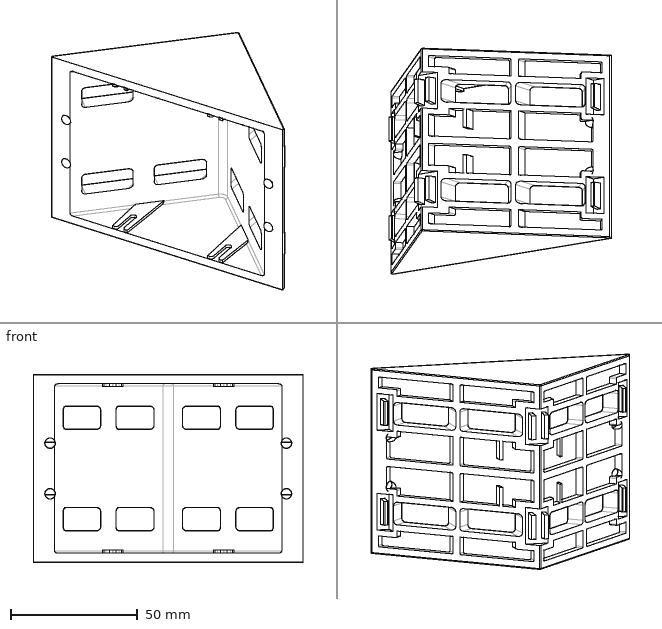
import cadquery as cq

width = 106.3
body_depth = 54.2
half_height = 37.0
apex_y = 54.5
half_width = width / 2
base_rim = apex_y - half_width
apex_flat = apex_y - body_depth
edge_chamfer = 0.4

wall_run = 9.8
cavity_half_height = 33.4
cavity_apex_fillet = 3.0
cavity_edge_fillet = 1.0

row_z = 20.0
clearance = 1.1

window_height = 9.0
window_spans = [(48.9, 29.1), (27.8, 8.3)]
window_fillet = 1.5

pocket_run = 4.3
pocket_near = 7.0
pocket_step = 9.7
pocket_outer_z = 34.0
pocket_inner_z = 1.5
pocket_fillet = 0.5
apex_pocket = (52.5, 29.2)
base_pocket = (27.0, 3.5)
inner_base_pocket = (27.0, 6.1)
apex_step_y = 46.6
base_step_y = 9.4

rib_apex_y = 42.7
rib_thickness = 1.1
rib_length = 7.4

notch_height = 14.7
notch_depth = 5.2
apex_notch_floor = 49.8
base_notch_floor = 3.0
base_notch_x = -46.4
hook_height = 4.4
hook_thickness = 1.7
hook_root = 10.4
hook_tip = 9.6
hook_tip_chamfer = 0.3
apex_hook_x = -2.7
base_hook_x = -49.1

hole_x = 46.5
hole_z = 10.0
hole_diameter = 4.0
hole_depth = 6.1

pad_x = -21.9
pad_back_width = 8.5
pad_tip_width = 6.8
pad_thickness = 1.2
pad_front_y = 0.2
pad_slot_width = 2.5
pad_slot_length = 11.5
pad_slot_end_round = 1.2
pad_tip_round = 1.3


def slab(points, z_low, z_high):
    """Extrude an XY outline between two heights."""
    return cq.Workplane("XY", origin=(0, 0, z_low)).polyline(points).close().extrude(z_high - z_low)


def block(x_low, x_high, y_low, y_high, z_low, z_high):
    return slab([(x_low, y_low), (x_high, y_low), (x_high, y_high), (x_low, y_high)], z_low, z_high)


def four_way(solid):
    """Repeat a left, upper feature to the right and below."""
    pair = solid.union(solid.mirror("YZ"))
    return pair.union(pair.mirror("XY"))


def wall_cutter(span, run, z_low, z_high):
    """Cutter in the left wall: apex end parallel to Y, base end square to the wall."""
    apex_end, base_end = span
    apex_x = apex_end - apex_y
    base_x = base_end - apex_y
    points = [
        (apex_x, apex_end + clearance),
        (apex_x, apex_end - run),
        (base_x + run / 2, base_end - run / 2),
        (base_x - clearance / 2, base_end + clearance / 2),
    ]
    return slab(points, z_low, z_high)


def round_ends(cutter, side, radius):
    """Round both end corners of a wall cutter on its upper or lower side."""
    return cutter.faces(side).edges("|Y or |(-1,1,0)").fillet(radius)


def make_body():
    outline = [
        (-half_width, 0),
        (half_width, 0),
        (half_width, base_rim),
        (apex_flat, body_depth),
        (-apex_flat, body_depth),
        (-half_width, base_rim),
    ]
    body = slab(outline, -half_height, half_height)
    return body.faces("|Z").edges("|(1,1,0) or |(-1,1,0) or (|X and >Y)").chamfer(edge_chamfer)


def make_cavity():
    cavity_apex = apex_y - wall_run
    half_mouth = cavity_apex + clearance
    outline = [(-half_mouth, -clearance), (half_mouth, -clearance), (0, cavity_apex)]
    cavity = slab(outline, -cavity_half_height, cavity_half_height)
    cavity = cavity.edges("|Z and >Y").fillet(cavity_apex_fillet)
    return cavity.faces("|Z").edges("not |X").fillet(cavity_edge_fillet)


def make_window(span):
    half = window_height / 2
    window = wall_cutter(span, wall_run + clearance, row_z - half, row_z + half)
    return round_ends(window, "|Z", window_fillet)


def make_pocket(strip_span, arm_span, far, near, step):
    """L-shaped pocket: a long strip far from the window row and a shorter arm reaching toward it."""
    middle = (far + step) / 2
    strip = wall_cutter(strip_span, pocket_run, min(far, step), max(far, step))
    strip = round_ends(strip, ">Z" if far > near else "<Z", pocket_fillet)
    arm = wall_cutter(arm_span, pocket_run, min(near, middle), max(near, middle))
    return strip.union(arm)


def round_step(pocket, run_x, step_y, step_z):
    """Round the inward corner where the arm meets the strip."""
    corner = (step_y - apex_y + run_x, step_y - pocket_run / 4, step_z)
    return pocket.edges(cq.NearestToPointSelector(corner)).fillet(pocket_fillet)


def make_pockets():
    """The four pockets around one row of windows, each stepped clear of a hook notch."""
    apex_arm = (apex_step_y, apex_pocket[1])
    base_arm = (base_pocket[0], base_step_y)
    outer = (pocket_outer_z, row_z + pocket_near, row_z + pocket_step)
    inner = (pocket_inner_z, row_z - pocket_near, row_z - pocket_step)

    outer_apex = round_step(make_pocket(apex_pocket, apex_arm, *outer), 0, apex_step_y, outer[-1])
    inner_apex = make_pocket(apex_pocket, apex_arm, *inner)
    outer_base = make_pocket(base_pocket, base_arm, *outer)
    outer_base = round_step(outer_base, pocket_run / 4, base_step_y, outer[-1])
    inner_base = make_pocket(inner_base_pocket, base_arm, *inner)
    inner_base = round_step(inner_base, pocket_run / 4, base_step_y, inner[-1])
    return outer_apex.union(inner_apex).union(outer_base).union(inner_base)


def make_rib():
    rib_apex_x = rib_apex_y - apex_y
    rib_base_x = rib_apex_x - rib_thickness
    points = [
        (rib_apex_x, rib_apex_y),
        (rib_apex_x, rib_apex_y - pocket_run - clearance),
        (rib_base_x, rib_apex_y - rib_thickness - pocket_run - clearance),
        (rib_base_x, rib_apex_y - rib_thickness),
    ]
    rib_top = row_z - pocket_near
    return slab(points, rib_top - rib_length, rib_top)


def make_notch(x_low, x_high, floor):
    half = notch_height / 2
    return block(x_low, x_high, floor, floor + notch_depth, row_z - half, row_z + half)


def make_hook(center_x, floor):
    """Upright prong that narrows in height toward its tip."""
    root = floor - clearance
    tip = floor + hook_height
    points = [
        (root, row_z - hook_root / 2),
        (floor, row_z - hook_root / 2),
        (tip, row_z - hook_tip / 2),
        (tip, row_z + hook_tip / 2),
        (floor, row_z + hook_root / 2),
        (root, row_z + hook_root / 2),
    ]
    plane = cq.Workplane("YZ", origin=(center_x - hook_thickness / 2, 0, 0))
    return plane.polyline(points).close().extrude(hook_thickness)


def make_hole():
    plane = cq.Workplane("XZ", origin=(-hole_x, 0, hole_z))
    return plane.circle(hole_diameter / 2).extrude(-hole_depth)


def make_pad():
    """Pad widening from the base opening into the wall, slotted at its narrow front end."""
    back_left = pad_x - pad_back_width / 2
    back_right = pad_x + pad_back_width / 2
    tip_left = pad_x - pad_tip_width / 2
    tip_right = pad_x + pad_tip_width / 2
    back_offset = apex_y - wall_run / 2
    bottom = cavity_half_height - pad_thickness
    top = (cavity_half_height + half_height) / 2
    outline = [
        (tip_left, pad_front_y),
        (tip_right, pad_front_y),
        (back_right, back_right + back_offset),
        (back_left, back_left + back_offset),
    ]
    pad = slab(outline, bottom, top)
    slot = block(
        pad_x - pad_slot_width / 2, pad_x + pad_slot_width / 2,
        pad_front_y - clearance, pad_front_y + pad_slot_length,
        bottom - clearance, cavity_half_height,
    )
    slot = slot.edges("|Z and >Y").fillet(pad_slot_end_round)
    pad = pad.cut(slot)
    slot_corners = pad.edges("|Z and <Y").sort(lambda edge: abs(edge.Center().x - pad_x))[:2]
    return slot_corners.fillet(pad_tip_round)


base_hook = make_hook(base_hook_x, base_notch_floor)
base_hook = base_hook.faces(">Y").edges("|Z").chamfer(hook_tip_chamfer)

result = make_body().cut(make_cavity())
for window_span in window_spans:
    result = result.cut(four_way(make_window(window_span)))
result = result.cut(four_way(make_pockets()))
result = result.cut(four_way(make_notch(apex_notch_floor - apex_y - clearance, 0, apex_notch_floor)))
result = result.cut(four_way(make_notch(-half_width, base_notch_x, base_notch_floor)))
result = result.cut(four_way(make_hole()))
result = result.union(four_way(make_rib()))
result = result.union(four_way(make_hook(apex_hook_x, apex_notch_floor)))
result = result.union(four_way(base_hook))
result = result.union(four_way(make_pad()))